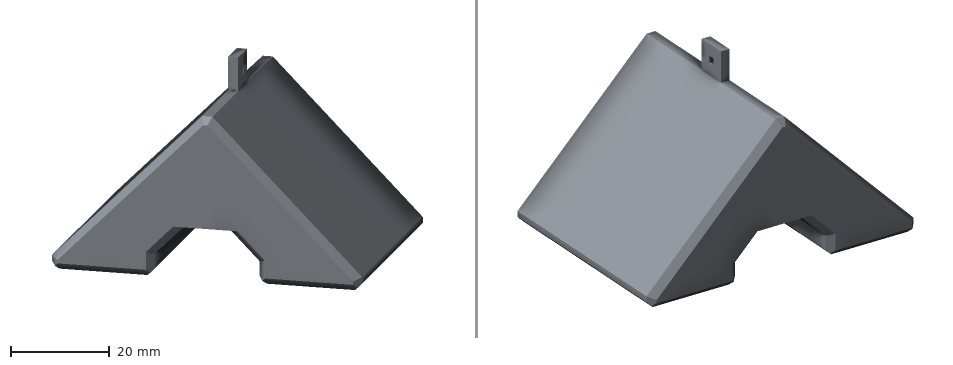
import cadquery as cq
import math

width = 65.05
depth = 50.0
total_height = 41.3
bevel = 1.5

lug_size = 7.0
lug_hole = 1.7
ridge_width = bevel * math.sqrt(2)

half_width = width / 2
half_ridge = ridge_width / 2
ridge_height = total_height - lug_size
eave_height = ridge_height - (half_width - half_ridge)

channel_half_width = 11.0
channel_height = 11.0
shoulder_height = 4.6
channel_top_half_width = channel_half_width - (channel_height - shoulder_height)


def make_gable():
    """Extruded gable with the channel and the flat ridge in its outline."""
    right_side = [
        (channel_top_half_width, channel_height),
        (channel_half_width, shoulder_height),
        (channel_half_width, 0),
        (half_width, 0),
        (half_width, eave_height),
        (half_ridge, ridge_height),
    ]
    left_side = [(-x, z) for x, z in reversed(right_side)]
    outline = cq.Workplane("XZ").polyline(right_side + left_side).close()
    return outline.extrude(depth / 2, both=True)


def bevel_ends(body):
    """Bevel both end faces all round, leaving the edge of the channel top sharp."""
    channel_top = cq.selectors.BoxSelector(
        (-half_ridge, -depth, channel_height - bevel),
        (half_ridge, depth, channel_height + bevel),
    )
    return body.faces("<Y or >Y").edges(cq.selectors.InverseSelector(channel_top)).chamfer(bevel)


def bevel_feet(body):
    """Bevel the lengthwise bottom edges at the eaves and the channel mouth."""
    for corner_x, inward in [
        (-half_width, 1),
        (-channel_half_width, -1),
        (channel_half_width, 1),
        (half_width, -1),
    ]:
        corner = [(corner_x, 0), (corner_x + inward * bevel, 0), (corner_x, bevel)]
        wedge = cq.Workplane("XZ").polyline(corner).close().extrude(depth / 2, both=True)
        body = body.cut(wedge)
    return body


def make_lug():
    """Square lug on the ridge, pierced along X by a square hole."""
    middle_height = ridge_height + lug_size / 2
    lug = cq.Workplane("XY").box(ridge_width, lug_size, lug_size)
    hole = cq.Workplane("XY").box(2 * ridge_width, lug_hole, lug_hole)
    return lug.cut(hole).translate((0, 0, middle_height))


result = bevel_feet(bevel_ends(make_gable())).union(make_lug())